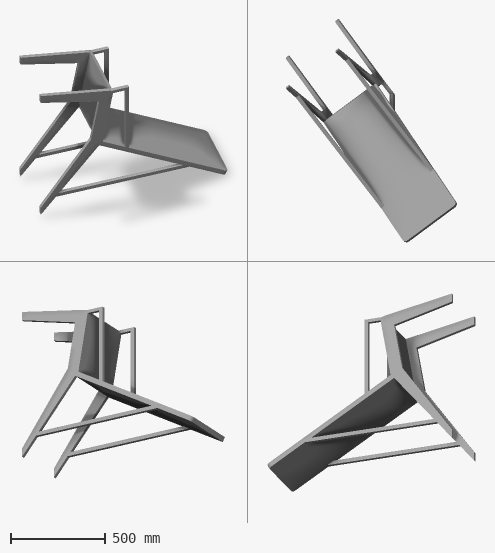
import cadquery as cq
import math

width = 349.0
frame_thickness = 20.0
back_thickness = 20.0
seat_thickness = 27.0
bar_size = 21.0
handle_top_bar = 18.0
seat_corner_radius = 20.0

seat_angle = math.radians(30)
back_lean = math.radians(10)

seat_floor_y = 1054 - seat_thickness * math.sin(seat_angle)
seat_front_y = 328.0
seat_front_z = (seat_floor_y - seat_front_y) * math.tan(seat_angle)
seat_board_length = (seat_floor_y - seat_front_y) / math.cos(seat_angle)

back_top_y = 389.0
back_top_z = 778.0
back_bottom_z = 434.0

arm_tip_top = 849.0
arm_tip_bottom = 801.0
arm_inner_corner = (328.0, 719.0)
knee = (283.0, 464.0)
leg_tip_top = 64.0
leg_tip_bottom = 16.0

handle_rear_y = 497.0
handle_top_z = 774.0
stretcher_bottom_z = 118.0


def back_front_y(z):
    """Y of the front face of the back panel at height z."""
    return back_top_y - (back_top_z - z) * math.tan(back_lean)


def back_rear_y(z):
    """Y of the rear face of the back panel at height z."""
    return back_front_y(z) + back_thickness / math.cos(back_lean)


def back_rear_top():
    """Top rear edge of the panel, where its top slopes down parallel to the seat."""
    back_depth = back_thickness / math.cos(back_lean)
    run = back_depth / (1 + math.tan(seat_angle) * math.tan(back_lean))
    return (back_top_y + run, back_top_z - run * math.tan(seat_angle))


def seat_middle_z(y):
    """Height of the middle of the seat board's thickness at a given y."""
    underside_z = (seat_floor_y - y) * math.tan(seat_angle)
    return underside_z + seat_thickness / 2 / math.cos(seat_angle)


def seat_middle_y(z):
    """Y of the middle of the seat board's thickness at height z."""
    return seat_floor_y - (z - seat_thickness / 2 / math.cos(seat_angle)) / math.tan(seat_angle)


def leg_middle_y(z):
    """Y of a point inside the front leg at height z."""
    tip_z = (leg_tip_top + leg_tip_bottom) / 2
    start_y = (knee[0] + seat_front_y) / 2
    start_z = (knee[1] + seat_front_z) / 2
    return start_y * (z - tip_z) / (start_z - tip_z)


def extrude_profile(points, thickness, start_x):
    """Extrude a closed (y, z) outline along +X from start_x."""
    return cq.Workplane("YZ", origin=(start_x, 0, 0)).polyline(points).close().extrude(thickness)


def make_seat():
    """Inclined board with its two floor-end corners rounded."""
    plane = cq.Plane(
        origin=(0, seat_floor_y, 0),
        xDir=(1, 0, 0),
        normal=(0, math.sin(seat_angle), math.cos(seat_angle)),
    )
    board = cq.Workplane(plane).center(0, -seat_board_length / 2)
    board = board.rect(width, seat_board_length).extrude(seat_thickness)
    floor_end = board.faces(">Y")
    return floor_end.edges(cq.selectors.ParallelDirSelector(plane.zDir)).fillet(seat_corner_radius)


def make_back():
    """Leaning panel across the full width."""
    outline = [
        (back_top_y, back_top_z),
        back_rear_top(),
        (back_rear_y(back_bottom_z), back_bottom_z),
        (back_front_y(back_bottom_z), back_bottom_z),
    ]
    return extrude_profile(outline, width, -width / 2)


def make_side(start_x):
    """Arm, upright and front leg with the handle and stretcher of one side."""
    frame = [
        (0, arm_tip_top),
        (back_top_y, back_top_z),
        back_rear_top(),
        (back_rear_y(back_bottom_z), back_bottom_z),
        (seat_front_y, seat_front_z),
        (0, leg_tip_bottom),
        (0, leg_tip_top),
        knee,
        arm_inner_corner,
        (0, arm_tip_bottom),
    ]
    handle_inner_y = handle_rear_y - bar_size
    handle_under_z = handle_top_z - handle_top_bar
    handle = [
        (back_top_y, handle_top_z),
        (handle_rear_y, handle_top_z),
        (handle_rear_y, seat_middle_z(handle_rear_y)),
        (handle_inner_y, seat_middle_z(handle_inner_y)),
        (handle_inner_y, handle_under_z),
        (back_top_y, handle_under_z),
    ]
    stretcher_top_z = stretcher_bottom_z + bar_size
    stretcher = [
        (seat_middle_y(stretcher_bottom_z), stretcher_bottom_z),
        (leg_middle_y(stretcher_bottom_z), stretcher_bottom_z),
        (leg_middle_y(stretcher_top_z), stretcher_top_z),
        (seat_middle_y(stretcher_top_z), stretcher_top_z),
    ]
    side = extrude_profile(frame, frame_thickness, start_x)
    for outline in (handle, stretcher):
        side = side.union(extrude_profile(outline, frame_thickness, start_x))
    return side


result = make_seat().union(make_back())
for side_x in (-width / 2, width / 2 - frame_thickness):
    result = result.union(make_side(side_x))